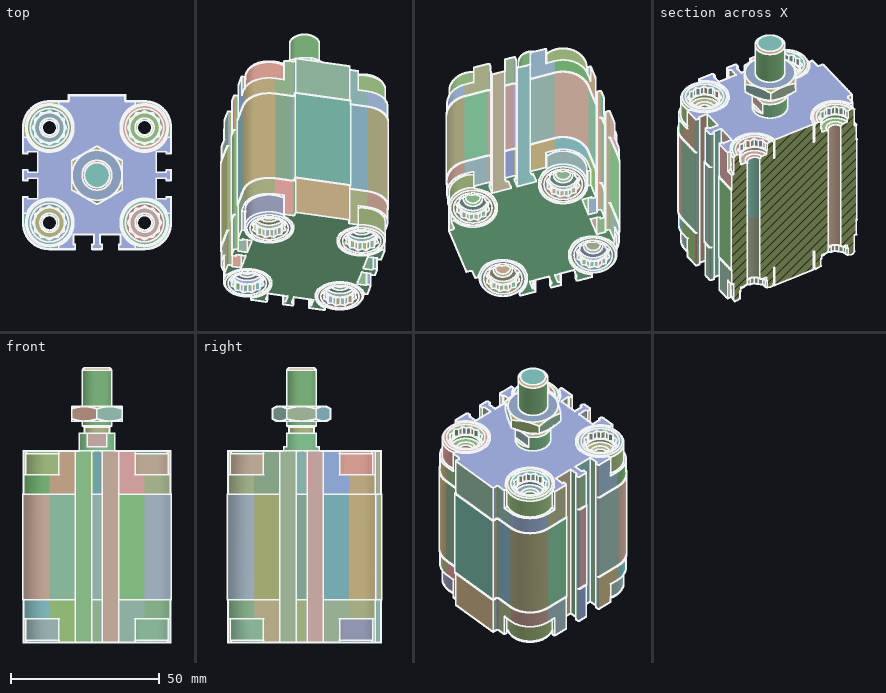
import cadquery as cq
import math

BODY_HEIGHT = 64.5
TOTAL_HEIGHT = 92.5

BODY_WIDTH = 50.0
SCREW_OFFSET = 16.0
PAD_WIDTH = 19.2
PAD_RISE = 2.0
PAD_FOOT_RADIUS = 0.5
CAP_INSET = 0.25
BARREL_LENGTH = 35.5

SLOT_FLOOR = 20.0
SLOT_LIP = 1.75
SLOT_HALF_SPAN = 7.85
LIP_HALF_SPAN = 7.25
RIB_HALF_WEB = 1.05
RIB_HALF_HEAD = 1.85
RIB_NECK_FILLET = 0.3
LIP_ROUND = 0.3
FRONT_RIB_ROUND = 0.5
SIDE_RIB_ROUND = 0.3

NOTCH_START = 12.8
NOTCH_DEPTH = 8.0
HEAD_DIAMETER = 16.0
HEAD_CLEARANCE_DIAMETER = 16.5
HEAD_CHAMFER_WIDTH = 0.5
HEAD_CHAMFER_HEIGHT = 0.9

SOCKET_MOUTH_DIAMETER = 12.9
SOCKET_LEAD_DIAMETER = 10.1
SOCKET_LEAD_DEPTH = 0.5
SOCKET_TIP_DIAMETER = 11.4
SOCKET_POINTS_DEPTH = 3.5
SOCKET_DEPTH = 5.0
SCREW_HOLE_DIAMETER = 4.92
SCREW_HOLE_MOUTH_DIAMETER = 6.4
HEX_SIDES = 6

ROD_DIAMETER = 12.0
ROD_LENGTH = 6.0
FLATS_WIDTH = 10.0
FLATS_LENGTH = 4.5
NECK_DIAMETER = 8.47
NECK_LENGTH = 2.0
THREAD_DIAMETER = 10.0
THREAD_CHAMFER = (THREAD_DIAMETER - NECK_DIAMETER) / 2
THREAD_FOOT_HEIGHT = 0.5

NUT_BASE = 74.5
NUT_THICKNESS = 5.0
NUT_WIDTH = 17.0
NUT_FACE_DIAMETER = 16.8
NUT_CHAMFER_ANGLE = 30.0


def outline_prism(inset, base, height):
    """Housing outline, moved inwards by inset on every side, without its slots."""
    side = BODY_WIDTH - 2 * inset
    edge = side / 2
    block = (
        cq.Workplane("XY", origin=(0, 0, base))
        .rect(side, side)
        .extrude(height)
        .edges("|Z")
        .fillet(edge - SCREW_OFFSET)
    )
    half_pad = PAD_WIDTH / 2 - inset
    foot = PAD_FOOT_RADIUS
    pad = (
        cq.Workplane("XY", origin=(0, 0, base))
        .moveTo(-half_pad, edge + PAD_RISE)
        .lineTo(-half_pad, edge + foot)
        .radiusArc((-half_pad - foot, edge), foot)
        .lineTo(-half_pad - foot, 0)
        .lineTo(half_pad + foot, 0)
        .lineTo(half_pad + foot, edge)
        .radiusArc((half_pad, edge + foot), foot)
        .lineTo(half_pad, edge + PAD_RISE)
        .close()
        .extrude(height)
    )
    return block.union(pad)


def slot_pair(inset, base, height, angle, rib_round):
    """The two undercut slots of the -Y side, turned by angle about Z."""
    face = -(BODY_WIDTH / 2 - inset)
    lip = SLOT_LIP - BODY_WIDTH / 2
    slot = (
        cq.Workplane("XY", origin=(0, 0, base))
        .moveTo(RIB_HALF_HEAD - rib_round, face)
        .radiusArc((RIB_HALF_HEAD, face + rib_round), -rib_round)
        .lineTo(RIB_HALF_HEAD, lip)
        .lineTo(RIB_HALF_WEB + RIB_NECK_FILLET, lip)
        .radiusArc((RIB_HALF_WEB, lip + RIB_NECK_FILLET), RIB_NECK_FILLET)
        .lineTo(RIB_HALF_WEB, -SLOT_FLOOR)
        .lineTo(SLOT_HALF_SPAN, -SLOT_FLOOR)
        .lineTo(SLOT_HALF_SPAN, lip)
        .lineTo(LIP_HALF_SPAN, lip)
        .lineTo(LIP_HALF_SPAN, face + LIP_ROUND)
        .radiusArc((LIP_HALF_SPAN + LIP_ROUND, face), -LIP_ROUND)
        .close()
        .extrude(height)
    )
    pair = slot.union(slot.mirror("YZ"))
    return pair.rotate((0, 0, 0), (0, 0, 1), angle)


def slotted_section(inset, base, height):
    """One length of the housing, with slots on its -Y, +X and -X sides."""
    section = outline_prism(inset, base, height)
    side_slots = ((0, FRONT_RIB_ROUND), (90, SIDE_RIB_ROUND), (-90, SIDE_RIB_ROUND))
    for angle, rib_round in side_slots:
        section = section.cut(slot_pair(inset, base, height, angle, rib_round))
    return section


def corner_notch():
    """Space cut from the top +X +Y corner, leaving the chamfered screw head standing."""
    head_radius = HEAD_DIAMETER / 2
    notch_size = BODY_WIDTH / 2 - NOTCH_START
    notch = cq.Workplane("XY", origin=(0, 0, BODY_HEIGHT - NOTCH_DEPTH)).box(
        notch_size, notch_size, NOTCH_DEPTH, centered=False
    )
    notch = notch.translate((NOTCH_START, NOTCH_START, 0))
    clearance = (
        cq.Workplane("XY", origin=(SCREW_OFFSET, SCREW_OFFSET, BODY_HEIGHT - NOTCH_DEPTH))
        .circle(HEAD_CLEARANCE_DIAMETER / 2)
        .extrude(NOTCH_DEPTH)
    )
    head = (
        cq.Workplane("XY", origin=(SCREW_OFFSET, SCREW_OFFSET, 0))
        .circle(head_radius)
        .extrude(BODY_HEIGHT)
    )
    chamfer_ring = (
        cq.Workplane("XZ")
        .moveTo(head_radius, BODY_HEIGHT - HEAD_CHAMFER_HEIGHT)
        .lineTo(head_radius, BODY_HEIGHT)
        .lineTo(head_radius - HEAD_CHAMFER_WIDTH, BODY_HEIGHT)
        .close()
        .revolve(360, (0, 0, 0), (0, 1, 0))
        .translate((SCREW_OFFSET, SCREW_OFFSET, 0))
    )
    return notch.union(clearance).cut(head).union(chamfer_ring)


def screw_socket():
    """Countersunk twelve-point socket in the top +X +Y corner, with the upper half of its through hole."""
    hole_radius = SCREW_HOLE_DIAMETER / 2
    hole_mouth_radius = SCREW_HOLE_MOUTH_DIAMETER / 2
    lead_radius = SOCKET_LEAD_DIAMETER / 2
    floor = BODY_HEIGHT - SOCKET_DEPTH
    socket = (
        cq.Workplane("XZ")
        .moveTo(0, BODY_HEIGHT / 2)
        .lineTo(hole_radius, BODY_HEIGHT / 2)
        .lineTo(hole_radius, floor - (hole_mouth_radius - hole_radius))
        .lineTo(hole_mouth_radius, floor)
        .lineTo(lead_radius, floor)
        .lineTo(lead_radius, BODY_HEIGHT - SOCKET_LEAD_DEPTH)
        .lineTo(SOCKET_MOUTH_DIAMETER / 2, BODY_HEIGHT)
        .lineTo(0, BODY_HEIGHT)
        .close()
        .revolve(360, (0, 0, 0), (0, 1, 0))
    )
    for turn in (0, 180 / HEX_SIDES):
        hexagon = (
            cq.Workplane("XY", origin=(0, 0, BODY_HEIGHT - SOCKET_POINTS_DEPTH))
            .polygon(HEX_SIDES, SOCKET_TIP_DIAMETER)
            .extrude(SOCKET_POINTS_DEPTH)
            .rotate((0, 0, 0), (0, 0, 1), turn)
        )
        socket = socket.union(hexagon)
    return socket.translate((SCREW_OFFSET, SCREW_OFFSET, 0))


def make_housing():
    cap_length = (BODY_HEIGHT - BARREL_LENGTH) / 2
    housing = slotted_section(0, cap_length, BARREL_LENGTH)
    for base in (0, BODY_HEIGHT - cap_length):
        housing = housing.union(slotted_section(CAP_INSET, base, cap_length))
    top_corner_cut = corner_notch().union(screw_socket())
    bottom_corner_cut = top_corner_cut.mirror("XY", (0, 0, BODY_HEIGHT / 2))
    for corner_cut in (top_corner_cut, bottom_corner_cut):
        for angle in (0, 90, 180, 270):
            housing = housing.cut(corner_cut.rotate((0, 0, 0), (0, 0, 1), angle))
    return housing


def make_rod():
    """Rod end standing on the housing: wrench flats, relief neck and threaded end."""
    rod_top = BODY_HEIGHT + ROD_LENGTH
    thread_start = rod_top + NECK_LENGTH
    neck_radius = NECK_DIAMETER / 2
    thread_radius = THREAD_DIAMETER / 2
    rod = (
        cq.Workplane("XZ")
        .moveTo(0, BODY_HEIGHT)
        .lineTo(ROD_DIAMETER / 2, BODY_HEIGHT)
        .lineTo(ROD_DIAMETER / 2, rod_top)
        .lineTo(neck_radius, rod_top)
        .lineTo(neck_radius, thread_start)
        .lineTo(thread_radius, thread_start + THREAD_FOOT_HEIGHT)
        .lineTo(thread_radius, TOTAL_HEIGHT - THREAD_CHAMFER)
        .lineTo(thread_radius - THREAD_CHAMFER, TOTAL_HEIGHT)
        .lineTo(0, TOTAL_HEIGHT)
        .close()
        .revolve(360, (0, 0, 0), (0, 1, 0))
    )
    flat_depth = (ROD_DIAMETER - FLATS_WIDTH) / 2
    for side in (-1, 1):
        flat_cut = cq.Workplane("XY", origin=(0, 0, rod_top - FLATS_LENGTH)).box(
            ROD_DIAMETER, flat_depth, FLATS_LENGTH, centered=(True, True, False)
        )
        rod = rod.cut(flat_cut.translate((0, side * (FLATS_WIDTH + flat_depth) / 2, 0)))
    return rod


def make_nut():
    """Hexagon nut on the thread, with a corner pointing to -Y and both faces chamfered."""
    corner_diameter = NUT_WIDTH / math.cos(math.radians(180 / HEX_SIDES))
    corner_radius = corner_diameter / 2
    face_radius = NUT_FACE_DIAMETER / 2
    chamfer_drop = (corner_radius - face_radius) * math.tan(math.radians(NUT_CHAMFER_ANGLE))
    nut_top = NUT_BASE + NUT_THICKNESS
    hexagon = (
        cq.Workplane("XY", origin=(0, 0, NUT_BASE))
        .polygon(HEX_SIDES, corner_diameter)
        .extrude(NUT_THICKNESS)
        .rotate((0, 0, 0), (0, 0, 1), 90)
    )
    chamfered_ring = (
        cq.Workplane("XZ")
        .moveTo(THREAD_DIAMETER / 2, NUT_BASE)
        .lineTo(face_radius, NUT_BASE)
        .lineTo(corner_radius, NUT_BASE + chamfer_drop)
        .lineTo(corner_radius, nut_top - chamfer_drop)
        .lineTo(face_radius, nut_top)
        .lineTo(THREAD_DIAMETER / 2, nut_top)
        .close()
        .revolve(360, (0, 0, 0), (0, 1, 0))
    )
    return hexagon.intersect(chamfered_ring)


housing = make_housing()
rod = make_rod()
nut = make_nut()

result = cq.Compound.makeCompound([housing.val(), rod.val(), nut.val()])